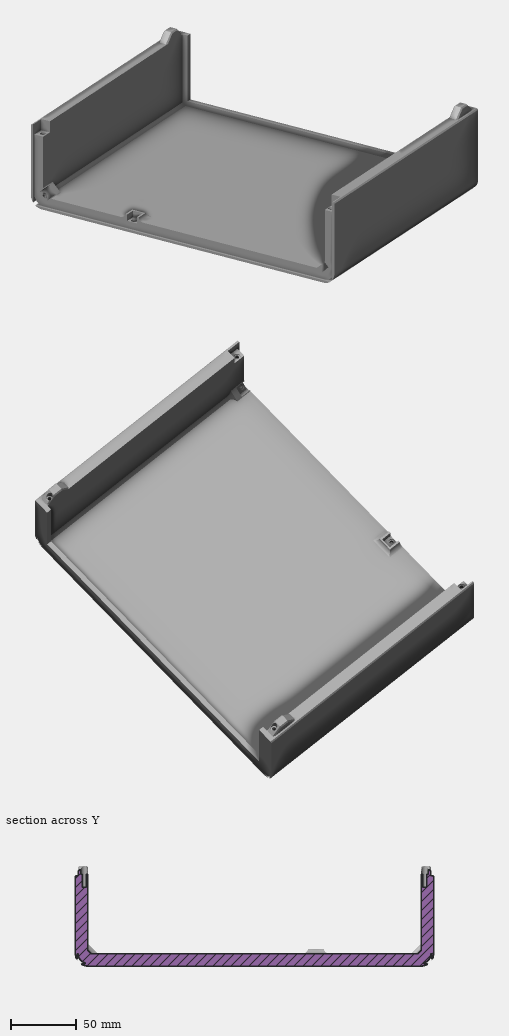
import cadquery as cq
import math

WIDTH = 274.0
DEPTH = 206.0
RIM_HEIGHT = 69.4
TOTAL_HEIGHT = 76.8
WALL = 9.9
OUTER_RADIUS = 10.0
RIM_CHAMFER = 1.0
INNER_CHAMFER = 2.5

SKIN = 2.0
SKIN_OVERHANG = 2.0
BACK_LIP_WALL = 14.3
BACK_LIP_DEPTH = 4.0

TAB_START = 4.2
TAB_LENGTH = 22.4
TAB_INNER = WALL
TAB_OUTER = 2.3
TAB_EDGE_CHAMFER = 1.0
TAB_HOLE_FROM_BACK = 8.8
TAB_HOLE_DEPTH = 10.0
NOTCH_DEPTH = 9.2
NOTCH_END = 11.7
NOTCH_HOLE_FROM_FRONT = 6.6
HOLE_FROM_SIDE = 7.0

HOLE_DIAMETER = 3.0
COUNTERBORE_DIAMETER = 5.0
COUNTERBORE_DEPTH = 1.0
SCREW_DEPTH = 5.0

SEAT_HEIGHT = 3.4
SEAT_TOP_WIDTH = 12.0
SEAT_FLARE = 4.5
SEAT_ROOT = 1.0
FLOOR_SEAT_X = -46.9
FLOOR_SEAT_END = 16.3
CORNER_SEAT_END = 20.0
POCKET_WIDTH = 8.8
POCKET_END = 10.5
POCKET_DEPTH = 1.9
SEAT_HOLE_FROM_FRONT = 4.9
SEAT_HOLE_DEPTH = 3.5

FRONT = -DEPTH / 2
BACK = DEPTH / 2
SIDES = (-1, 1)
SELECT_MARGIN = 1.0
CORNER_TILT = 45


def box(x_range, y_range, z_range):
    """Axis-aligned box given by its limits along X, Y and Z."""
    size = [high - low for low, high in (x_range, y_range, z_range)]
    corner = (x_range[0], y_range[0], z_range[0])
    return cq.Workplane("XY").box(*size, centered=False).translate(corner)


def u_section(outer_inset, wall, y_start, y_end):
    """U-shaped channel; its outer face is inset and its inner face is wall from the outside."""
    half_out = WIDTH / 2 - outer_inset
    half_in = WIDTH / 2 - wall
    outer = box((-half_out, half_out), (y_start, y_end), (outer_inset, RIM_HEIGHT))
    outer = outer.edges("|Y and <Z").fillet(OUTER_RADIUS - outer_inset)
    return outer.cut(box((-half_in, half_in), (y_start, y_end), (wall, RIM_HEIGHT)))


def inner_corner_edges():
    """Selector box around the two edges where the walls meet the floor."""
    half = WIDTH / 2 - WALL + SELECT_MARGIN
    return cq.selectors.BoxSelector(
        (-half, FRONT, WALL - SELECT_MARGIN), (half, BACK, WALL + SELECT_MARGIN)
    )


def make_shell():
    """Channel with an overhanging outer skin, chamfered inner corners and a thicker back lip."""
    skin = u_section(0, SKIN, FRONT, BACK)
    skin = skin.faces(">Z").edges("<X or >X").chamfer(RIM_CHAMFER)
    core = u_section(SKIN, WALL, FRONT + SKIN_OVERHANG, BACK)
    core = core.edges(inner_corner_edges()).edges("|Y").chamfer(INNER_CHAMFER)
    lip = u_section(SKIN, BACK_LIP_WALL, BACK - BACK_LIP_DEPTH, BACK)
    return skin.union(core).union(lip)


def screw_hole(depth):
    """Counterbored screw hole cutter, opening at the origin and going down."""
    hole = cq.Workplane("XY").circle(HOLE_DIAMETER / 2).extrude(-depth)
    counterbore = cq.Workplane("XY").circle(COUNTERBORE_DIAMETER / 2).extrude(-COUNTERBORE_DEPTH)
    return hole.union(counterbore)


def make_tab(side):
    """Trapezoidal tab with 45-degree ends, standing on the rim near the back."""
    height = TOTAL_HEIGHT - RIM_HEIGHT
    y_back = BACK - TAB_START
    y_front = y_back - TAB_LENGTH
    profile = [
        (y_front, RIM_HEIGHT),
        (y_front + height, TOTAL_HEIGHT),
        (y_back - height, TOTAL_HEIGHT),
        (y_back, RIM_HEIGHT),
    ]
    x_low, x_high = sorted(side * (WIDTH / 2 - inset) for inset in (TAB_OUTER, TAB_INNER))
    tab = cq.Workplane("YZ").polyline(profile).close().extrude(x_high - x_low)
    tab = tab.faces("<X or >X").edges("not <Z").chamfer(TAB_EDGE_CHAMFER)
    return tab.translate((x_low, 0, 0))


def tab_hole(side):
    """Vertical counterbored hole through the back slope of a tab."""
    x = side * (WIDTH / 2 - HOLE_FROM_SIDE)
    y = BACK - TAB_HOLE_FROM_BACK
    z_step = RIM_HEIGHT + COUNTERBORE_DEPTH
    hole = cq.Workplane("XY").circle(HOLE_DIAMETER / 2).extrude(-TAB_HOLE_DEPTH)
    counterbore = cq.Workplane("XY").circle(COUNTERBORE_DIAMETER / 2).extrude(TOTAL_HEIGHT - z_step)
    return hole.union(counterbore).translate((x, y, z_step))


def notch(side):
    """Pocket at the front end of a wall, inside the skin, with a screw hole in its floor."""
    x_range = sorted(side * (WIDTH / 2 - inset) for inset in (SKIN, WALL))
    z_floor = RIM_HEIGHT - NOTCH_DEPTH
    pocket = box(x_range, (FRONT, FRONT + NOTCH_END), (z_floor, RIM_HEIGHT))
    hole_at = (side * (WIDTH / 2 - HOLE_FROM_SIDE), FRONT + NOTCH_HOLE_FROM_FRONT, z_floor)
    return pocket.union(screw_hole(SCREW_DEPTH).translate(hole_at))


def flared(workplane, top_start, top_end, length):
    """Extruded raised profile whose ends sweep down to the base in concave arcs."""
    ease = 1 - math.sqrt(0.5)
    arc_x = SEAT_FLARE * ease
    arc_z = SEAT_HEIGHT * ease
    low, high = top_start - SEAT_FLARE, top_end + SEAT_FLARE
    return (
        workplane.moveTo(low, -SEAT_ROOT)
        .lineTo(low, 0)
        .threePointArc((top_start - arc_x, arc_z), (top_start, SEAT_HEIGHT))
        .lineTo(top_end, SEAT_HEIGHT)
        .threePointArc((top_end + arc_x, arc_z), (high, 0))
        .lineTo(high, -SEAT_ROOT)
        .close()
        .extrude(length, both=True)
    )


def seat_body(end):
    """Clip seat rising from local z = 0, reaching from the core's front face to the given depth."""
    half = SEAT_TOP_WIDTH / 2
    reach = half + SEAT_FLARE
    across = flared(cq.Workplane("XZ"), -half, half, end)
    along = flared(cq.Workplane("YZ"), 0, end - SEAT_FLARE, reach)
    limits = box((-reach, reach), (SKIN_OVERHANG, end), (-SEAT_ROOT, SEAT_HEIGHT))
    return across.intersect(along).intersect(limits)


def seat_pocket():
    """Clip pocket open to the front and the top, with a screw hole in its floor."""
    half = POCKET_WIDTH / 2
    pocket = box((-half, half), (0, POCKET_END), (-POCKET_DEPTH, SEAT_HEIGHT))
    hole = screw_hole(SEAT_HOLE_DEPTH).translate((0, SEAT_HOLE_FROM_FRONT, -POCKET_DEPTH))
    return pocket.union(hole)


def on_floor(shape):
    """Move a local seat shape to its place on the floor."""
    return shape.translate((FLOOR_SEAT_X, FRONT, WALL))


def in_corner(shape, side):
    """Tilt a local seat shape 45 degrees onto the chamfer of an inner corner."""
    middle = WALL + INNER_CHAMFER / 2
    tilted = shape.rotate((0, 0, 0), (0, 1, 0), -CORNER_TILT * side)
    return tilted.translate((side * (WIDTH / 2 - middle), FRONT, middle))


result = make_shell().union(on_floor(seat_body(FLOOR_SEAT_END)))
result = result.cut(on_floor(seat_pocket()))
for wall_side in SIDES:
    result = result.union(in_corner(seat_body(CORNER_SEAT_END), wall_side))
    result = result.cut(in_corner(seat_pocket(), wall_side))
    result = result.union(make_tab(wall_side)).cut(tab_hole(wall_side))
    result = result.cut(notch(wall_side))